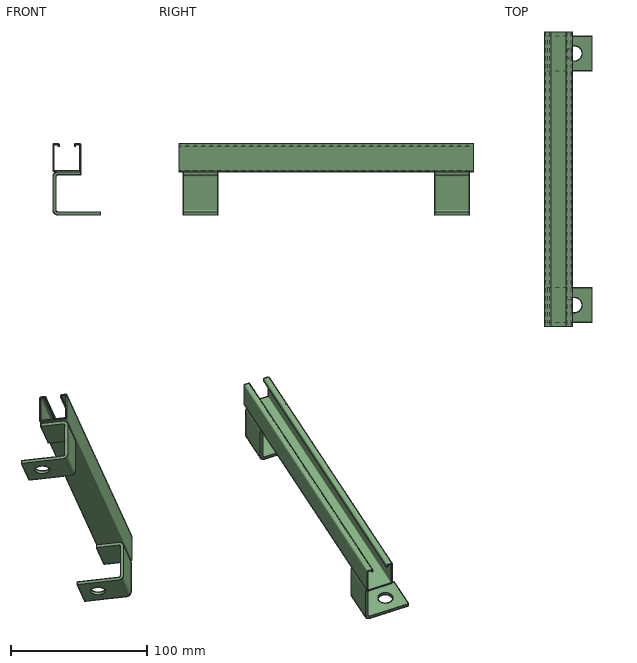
import cadquery as cq

rail_length = 216.0
rail_width = 20.5
rail_height = 20.7
rail_sheet = 1.0
rail_bend_radius = 1.1
lip_width = 4.7
lip_height = 2.4

overall_height = 52.5
bracket_height = overall_height - rail_height
bracket_width = 25.5
bracket_sheet = 2.4
bracket_bend_radius = 3.7
foot_length = 35.0
seat_length = rail_width
bracket_end_inset = 3.0
bracket_y = rail_length / 2 - bracket_end_inset - bracket_width / 2

hole_diameter = 11.0
hole_x = 22.0


def extrude_outline(points, length):
    """Extrude a closed XZ outline to both sides of Y = 0."""
    return cq.Workplane("XZ").polyline(points).close().extrude(length / 2, both=True)


def round_bends(body, corners, radius):
    """Fillet the Y-direction edges that pass through the given XZ corners."""
    for x, z in corners:
        body = body.edges(cq.selectors.NearestToPointSelector((x, 0, z))).fillet(radius)
    return body


def make_rail():
    bottom = bracket_height
    top = overall_height
    floor = bottom + rail_sheet
    ceiling = top - rail_sheet
    lip_bottom = top - lip_height
    inner_radius = rail_bend_radius - rail_sheet

    outer_bends = [(0, bottom), (0, top), (lip_width, top)]
    inner_bends = [
        (lip_width - rail_sheet, ceiling),
        (rail_sheet, ceiling),
        (rail_sheet, floor),
    ]
    lip_end = [(lip_width, lip_bottom), (lip_width - rail_sheet, lip_bottom)]
    left_half = outer_bends + lip_end + inner_bends

    def mirrored(corners):
        return [(rail_width - x, z) for x, z in corners]

    rail = extrude_outline(left_half + mirrored(left_half)[::-1], rail_length)
    rail = round_bends(rail, outer_bends + mirrored(outer_bends), rail_bend_radius)
    return round_bends(rail, inner_bends + mirrored(inner_bends), inner_radius)


def make_bracket(y_centre):
    seat_bottom = bracket_height - bracket_sheet
    outer_bends = [(0, 0), (0, bracket_height)]
    inner_bends = [(bracket_sheet, seat_bottom), (bracket_sheet, bracket_sheet)]
    seat_end = [(seat_length, bracket_height), (seat_length, seat_bottom)]
    foot_end = [(foot_length, bracket_sheet), (foot_length, 0)]

    bracket = extrude_outline(outer_bends + seat_end + inner_bends + foot_end, bracket_width)
    bracket = round_bends(bracket, outer_bends, bracket_bend_radius)
    bracket = round_bends(bracket, inner_bends, bracket_bend_radius - bracket_sheet)

    hole = cq.Workplane("XY").center(hole_x, 0).circle(hole_diameter / 2).extrude(bracket_sheet)
    return bracket.cut(hole).translate((0, y_centre, 0))


rail = make_rail()
brackets = [make_bracket(y_centre) for y_centre in (-bracket_y, bracket_y)]

result = cq.Compound.makeCompound([rail.val(), *[bracket.val() for bracket in brackets]])